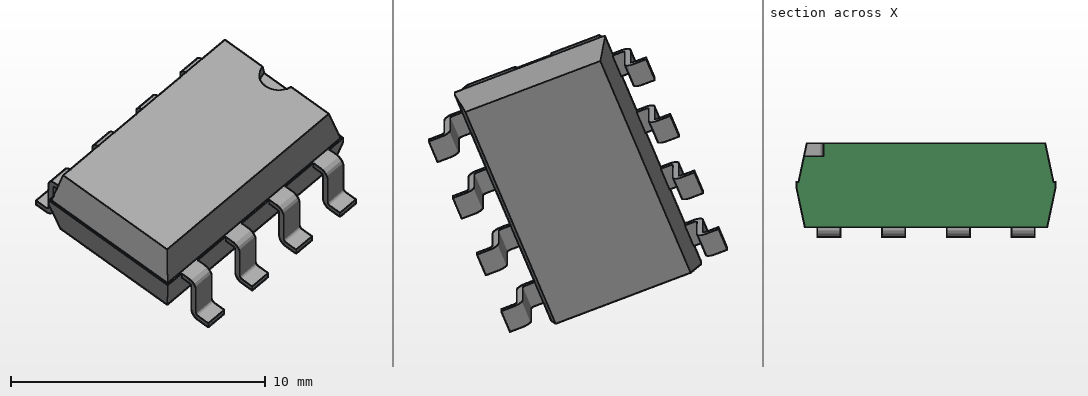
import cadquery as cq
import math

span_x = 9.19
body_x = 6.35
body_y = 10.16
body_bottom = 0.381
body_top = 3.683

draft_angle = 12.0
upper_step = 0.076
lead_thickness = 0.254
body_middle = (body_bottom + body_top) / 2
band_bottom = body_middle - lead_thickness / 2
band_top = body_middle + lead_thickness / 2

leads_per_side = 4
lead_pitch = 2.54
lead_width = 0.93
lead_outer_x = 3.937
lead_inner_x = lead_outer_x - lead_thickness
inner_bend = 0.127
outer_bend = inner_bend + lead_thickness

notch_radius = 0.762
notch_depth = 0.508
taper_per_height = math.tan(math.radians(draft_angle))
top_edge_y = body_y / 2 - upper_step - (body_top - band_top) * taper_per_height
notch_center_y = top_edge_y + notch_depth * taper_per_height


def make_body():
    """Band with the two drafted halves; the upper half is set in by a small step."""
    band = (
        cq.Workplane("XY", origin=(0, 0, band_bottom))
        .rect(body_x, body_y)
        .extrude(lead_thickness)
    )
    upper = (
        cq.Workplane("XY", origin=(0, 0, band_top))
        .rect(body_x - 2 * upper_step, body_y - 2 * upper_step)
        .extrude(body_top - band_top, taper=draft_angle)
    )
    lower = (
        cq.Workplane("XY", origin=(0, 0, band_bottom))
        .rect(body_x, body_y)
        .extrude(-(band_bottom - body_bottom), taper=draft_angle)
    )
    return band.union(upper).union(lower)


def make_notch():
    """Round cutter centred where the notch floor meets the drafted +Y end face."""
    return (
        cq.Workplane("XY", origin=(0, notch_center_y, body_top))
        .circle(notch_radius)
        .extrude(-notch_depth)
    )


def make_lead():
    """One lead on the +X side, centred on Y = 0, from the band down to its foot."""
    shoulder_x = lead_inner_x - inner_bend
    shoulder_z = band_bottom - inner_bend
    foot_x = lead_outer_x + inner_bend
    foot_z = lead_thickness + inner_bend
    diagonal = math.sqrt(0.5)
    outer_diagonal = outer_bend * diagonal
    inner_diagonal = inner_bend * diagonal
    return (
        cq.Workplane("XZ")
        .moveTo(body_x / 2, band_top)
        .lineTo(shoulder_x, band_top)
        .threePointArc(
            (shoulder_x + outer_diagonal, shoulder_z + outer_diagonal),
            (lead_outer_x, shoulder_z),
        )
        .lineTo(lead_outer_x, foot_z)
        .threePointArc(
            (foot_x - inner_diagonal, foot_z - inner_diagonal),
            (foot_x, lead_thickness),
        )
        .lineTo(span_x / 2, lead_thickness)
        .lineTo(span_x / 2, 0)
        .lineTo(foot_x, 0)
        .threePointArc(
            (foot_x - outer_diagonal, foot_z - outer_diagonal),
            (lead_inner_x, foot_z),
        )
        .lineTo(lead_inner_x, shoulder_z)
        .threePointArc(
            (shoulder_x + inner_diagonal, shoulder_z + inner_diagonal),
            (shoulder_x, band_bottom),
        )
        .lineTo(body_x / 2, band_bottom)
        .close()
        .extrude(lead_width / 2, both=True)
    )


result = make_body().cut(make_notch())
right_lead = make_lead()
left_lead = right_lead.mirror("YZ")
for index in range(leads_per_side):
    lead_y = (index - (leads_per_side - 1) / 2) * lead_pitch
    for lead in (right_lead, left_lead):
        result = result.union(lead.translate((0, lead_y, 0)))